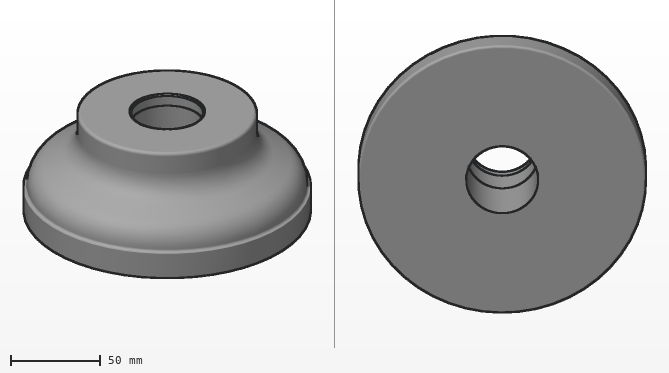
import cadquery as cq
import math

base_radius = 80.0
base_height = 16.0
base_bottom_fillet = 1.5
base_top_fillet = 0.3

total_height = 63.0
neck_radius = 100.0 / 2
neck_edge_fillet = 2.0
neck_bottom_z = 50.0
bell_radius = 156.0 / 2
foot_fillet = 1.6
bell_arc_start_z = base_height + foot_fillet
blend_radius = 15.0

bore_radius = 20.0
bore_chamfer = 1.0
bushing_outer_radius = 25.6
bushing_bottom_z = 37.1
bushing_top_z = 56.0
bushing_height = bushing_top_z - bushing_bottom_z

foot_center = (bell_radius + foot_fillet, bell_arc_start_z)
shoulder_center = (bell_radius - blend_radius, bell_arc_start_z)
neck_center = (neck_radius + blend_radius, neck_bottom_z)

center_dr = neck_center[0] - shoulder_center[0]
center_dz = neck_center[1] - shoulder_center[1]
center_distance = math.hypot(center_dr, center_dz)
normal_angle = math.atan2(center_dz, center_dr) - math.acos(2 * blend_radius / center_distance)


def on_arc(center, radius, angle):
    return (center[0] + radius * math.cos(angle), center[1] + radius * math.sin(angle))


def base_flange():
    flange = cq.Workplane("XY").circle(base_radius).extrude(base_height)
    flange = flange.faces("<Z").edges().fillet(base_bottom_fillet)
    return flange.faces(">Z").edges().fillet(base_top_fillet)


def bell():
    half_angle = normal_angle / 2
    profile = (
        cq.Workplane("XZ")
        .moveTo(0, base_height)
        .lineTo(bell_radius + foot_fillet, base_height)
        .threePointArc(
            on_arc(foot_center, -foot_fillet, math.pi / 4),
            (bell_radius, bell_arc_start_z),
        )
        .threePointArc(
            on_arc(shoulder_center, blend_radius, half_angle),
            on_arc(shoulder_center, blend_radius, normal_angle),
        )
        .lineTo(*on_arc(neck_center, -blend_radius, normal_angle))
        .threePointArc(
            on_arc(neck_center, -blend_radius, half_angle),
            (neck_radius, neck_bottom_z),
        )
        .lineTo(neck_radius, total_height)
        .lineTo(0, total_height)
        .close()
    )
    solid = profile.revolve(360, (0, 0, 0), (0, 1, 0))
    return solid.faces(">Z").edges().fillet(neck_edge_fillet)


def make_housing():
    body = base_flange().union(bell())
    bore = cq.Workplane("XY").circle(bore_radius).extrude(total_height)
    body = body.cut(bore)
    bore_rim = body.faces(">Z").edges(cq.selectors.RadiusNthSelector(0))
    body = bore_rim.chamfer(bore_chamfer)
    return body.cut(make_bushing())


def make_bushing():
    seat = cq.Workplane("XY").workplane(offset=bushing_bottom_z)
    return seat.circle(bushing_outer_radius).circle(bore_radius).extrude(bushing_height)


housing = make_housing()
bushing = make_bushing()

result = cq.Compound.makeCompound([housing.val(), bushing.val()])